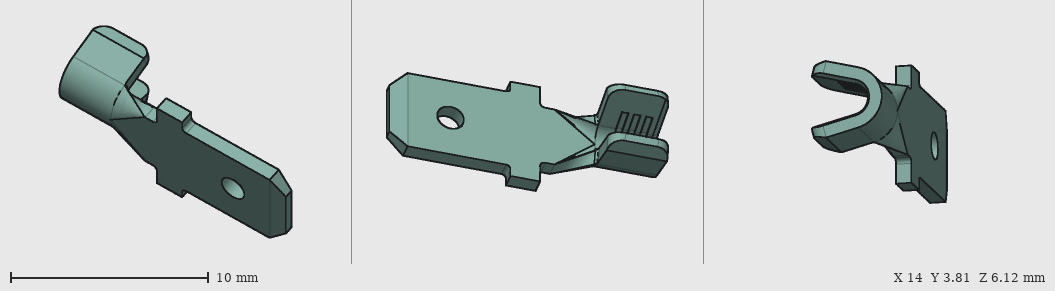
import cadquery as cq
import math


sheet = 0.81
total_length = 13.97
barrel_length = 3.18
neck_end = 5.31
shoulder_start = 6.06
shoulder_end = 7.63
bevel_length = 0.91
bevel_start = total_length - bevel_length

neck_half = 1.785
shoulder_half = 3.06
blade_half = 2.375
tip_half = 1.50
tip_thickness = 0.50
inside_radius = 0.25
hole_x = 10.79
hole_diameter = 1.40

overall_depth = 3.81
leg_angle = 14.2
bend_outer = 1.62
bend_inner = bend_outer - sheet
leg_corner = 0.72
leg_tip_thickness = 0.44
entry_chamfer_length = 0.29
entry_chamfer_depth = 0.16
leg_root_fillet = 0.15

groove_count = 3
groove_first = 0.77
groove_pitch = 0.64
groove_width = 0.34
groove_depth = 0.10
groove_top = 2.45

sin_leg = math.sin(math.radians(leg_angle))
cos_leg = math.cos(math.radians(leg_angle))
leg_length = (overall_depth - bend_outer + bend_inner * sin_leg) / cos_leg


def bend_point(radius, side):
    """Return (Y, Z) where a bend arc of this radius meets the leg on one side of Z = 0."""
    return bend_outer - radius * sin_leg, side * radius * cos_leg


def with_mirror(shape):
    """Add the Z < 0 twin of a shape."""
    return shape.union(shape.mirror("XY"))


def plane_at_bend_end(radius, normal):
    """Workplane at the upper end of a bend arc, with its local x along X."""
    y, z = bend_point(radius, 1)
    return cq.Workplane(cq.Plane(origin=(0, y, z), xDir=(1, 0, 0), normal=normal))


def leg_plane():
    """Plane of the upper leg's outer face: local y runs up the leg, the normal points out."""
    return plane_at_bend_end(bend_outer, (0, -sin_leg, cos_leg))


def section_plane(radius):
    """Plane square to the upper leg: local y points out of the sheet, the normal down the leg."""
    return plane_at_bend_end(radius, (0, -cos_leg, -sin_leg))


def bend_section(x):
    """Closed outline of the barrel's curved back, between the two legs, at a station X."""
    return (
        cq.Workplane("YZ", origin=(x, 0, 0))
        .moveTo(*bend_point(bend_outer, -1))
        .threePointArc((0, 0), bend_point(bend_outer, 1))
        .lineTo(*bend_point(bend_inner, 1))
        .threePointArc((sheet, 0), bend_point(bend_inner, -1))
        .close()
    )


def make_leg():
    """Upper leg with rounded free corners and an outer face that tapers at the tip."""
    straight = leg_length - leg_corner
    leg = (
        leg_plane()
        .lineTo(barrel_length, 0)
        .lineTo(barrel_length, straight)
        .tangentArcPoint((barrel_length - leg_corner, leg_length), relative=False)
        .lineTo(leg_corner, leg_length)
        .tangentArcPoint((0, straight), relative=False)
        .close()
        .extrude(-sheet)
    )
    y, z = bend_point(bend_outer, 1)
    side = cq.Plane(origin=(0, y, z), xDir=(0, cos_leg, sin_leg), normal=(1, 0, 0))
    taper = (
        cq.Workplane(side)
        .moveTo(straight, 0)
        .lineTo(leg_length, leg_tip_thickness - sheet)
        .lineTo(leg_length, 0)
        .close()
        .extrude(barrel_length)
    )
    return leg.cut(taper)


def make_leg_root():
    """Concave fillet in the corner between the upper leg and the neck."""
    return (
        leg_plane()
        .moveTo(barrel_length, 0)
        .lineTo(barrel_length + leg_root_fillet, 0)
        .radiusArc((barrel_length, leg_root_fillet), leg_root_fillet)
        .close()
        .extrude(-sheet)
    )


def make_inside_cutter(profile, leg_reach):
    """Carry an (X, depth) profile around the barrel's inside and up both legs."""
    on_leg = section_plane(bend_inner).polyline(profile).close().extrude(-leg_reach)
    on_bend = (
        section_plane(bend_inner)
        .polyline(profile)
        .close()
        .revolve(90 - leg_angle, (0, -bend_inner), (1, -bend_inner))
    )
    return with_mirror(on_leg.union(on_bend))


def make_barrel():
    bend = bend_section(0).extrude(barrel_length)
    barrel = bend.union(with_mirror(make_leg().union(make_leg_root())))
    entry = [(0, 0), (entry_chamfer_length, 0), (0, entry_chamfer_depth)]
    barrel = barrel.cut(make_inside_cutter(entry, leg_length))
    groove_reach = (groove_top - bend_point(bend_inner, 1)[0]) / cos_leg
    for i in range(groove_count):
        left = groove_first + i * groove_pitch - groove_width / 2
        right = left + groove_width
        groove = [(left, 0), (right, 0), (right, groove_depth), (left, groove_depth)]
        barrel = barrel.cut(make_inside_cutter(groove, groove_reach))
    return barrel


def make_neck_cone(radius, corner):
    """Cone from half of a bend arc to one corner of the flat sheet."""
    side = math.copysign(1, corner.z)
    half_angle = math.radians(90 - leg_angle) / 2
    depth = bend_outer - radius * math.cos(half_angle)
    height = side * radius * math.sin(half_angle)
    arc = cq.Edge.makeThreePointArc(
        cq.Vector(barrel_length, bend_outer - radius, 0),
        cq.Vector(barrel_length, depth, height),
        cq.Vector(barrel_length, *bend_point(radius, side)),
    )
    apex = cq.Vertex.makeVertex(*corner.toTuple())
    return cq.occ_impl.shapes.loft([cq.Wire.assembleEdges([arc]), apex], ruled=True)


def make_neck():
    """Transition from bend to flat sheet: each skin is a flat triangle between two cones."""
    faces = [cq.Face.makeFromWires(bend_section(barrel_length).val())]
    edges_at_sheet = []
    for side in (1, -1):
        front = cq.Vector(neck_end, 0, side * neck_half)
        back = cq.Vector(neck_end, sheet, side * neck_half)
        barrel_edge = cq.Edge.makeLine(
            cq.Vector(barrel_length, *bend_point(bend_outer, side)),
            cq.Vector(barrel_length, *bend_point(bend_inner, side)),
        )
        sheet_edge = cq.Edge.makeLine(front, back)
        edges_at_sheet.append(sheet_edge)
        faces.append(make_neck_cone(bend_outer, front))
        faces.append(make_neck_cone(bend_inner, back))
        faces.append(cq.Face.makeRuledSurface(barrel_edge, sheet_edge))
    faces.append(cq.Face.makeRuledSurface(*edges_at_sheet))
    for y in (0, sheet):
        outline = [
            cq.Vector(barrel_length, y, 0),
            cq.Vector(neck_end, y, neck_half),
            cq.Vector(neck_end, y, -neck_half),
        ]
        faces.append(cq.Face.makeFromWires(cq.Wire.makePolygon(outline, close=True)))
    return cq.Workplane(cq.Solid.makeSolid(cq.occ_impl.shapes.shell(faces)))


def make_blade():
    """Flat blade with its stop shoulders, tapered tip and detent hole."""
    upper = (
        cq.Workplane("XZ")
        .moveTo(neck_end, 0)
        .lineTo(neck_end, neck_half)
        .lineTo(shoulder_start - inside_radius, neck_half)
        .radiusArc((shoulder_start, neck_half + inside_radius), -inside_radius)
        .lineTo(shoulder_start, shoulder_half)
        .lineTo(shoulder_end, shoulder_half)
        .lineTo(shoulder_end, blade_half + inside_radius)
        .radiusArc((shoulder_end + inside_radius, blade_half), -inside_radius)
        .lineTo(bevel_start, blade_half)
        .lineTo(total_length, tip_half)
        .lineTo(total_length, 0)
        .close()
        .extrude(-sheet)
    )
    tip_inset = (sheet - tip_thickness) / 2
    side_profile = (
        cq.Workplane("XY")
        .moveTo(neck_end, 0)
        .lineTo(bevel_start, 0)
        .lineTo(total_length, tip_inset)
        .lineTo(total_length, sheet - tip_inset)
        .lineTo(bevel_start, sheet)
        .lineTo(neck_end, sheet)
        .close()
        .extrude(shoulder_half, both=True)
    )
    hole = (
        cq.Workplane("XZ")
        .center(hole_x, 0)
        .circle(hole_diameter / 2)
        .extrude(-sheet)
    )
    return with_mirror(upper).intersect(side_profile).cut(hole)


terminal = make_blade().union(make_neck()).union(make_barrel())
result = terminal.solids()